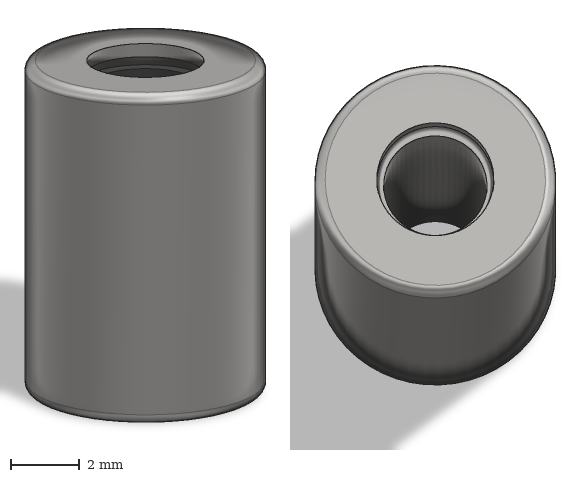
import cadquery as cq

outer_diameter = 7.0
length = 10.0
edge_radius = 0.3
bore_diameter = 3.0
mouth_diameter = 3.4
mouth_depth = 0.4
groove_diameter = 3.8
groove_width = 0.3


def make_body():
    """Cylinder standing on the XY plane along Z, with both rims rounded."""
    body = cq.Workplane("XY").circle(outer_diameter / 2).extrude(length)
    return body.edges("%CIRCLE").fillet(edge_radius)


def cylinder_below_top(diameter, top_depth, height):
    """Coaxial cutting cylinder that starts top_depth below the top face and runs down."""
    start = cq.Workplane("XY").workplane(offset=length - top_depth)
    return start.circle(diameter / 2).extrude(-height)


def cut_stepped_bore(body):
    """Through bore, wider mouth at the top, and an undercut groove below the mouth."""
    bore = cylinder_below_top(bore_diameter, 0, length)
    mouth = cylinder_below_top(mouth_diameter, 0, mouth_depth)
    groove = cylinder_below_top(groove_diameter, mouth_depth, groove_width)
    return body.cut(bore).cut(mouth).cut(groove)


result = cut_stepped_bore(make_body())